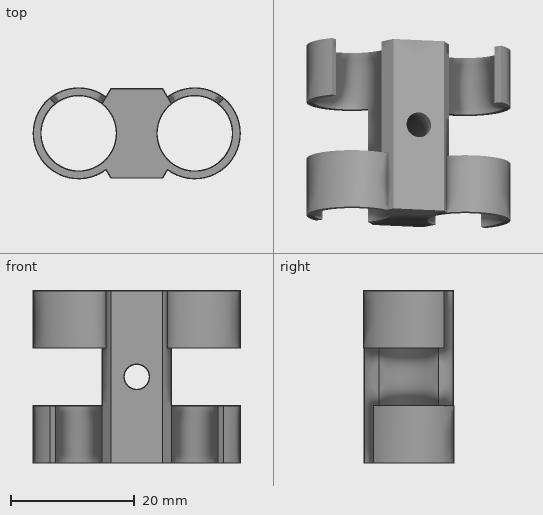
import cadquery as cq
import math

clip_outer_radius = 7.366
clip_wall = 1.27
clip_offset = 9.398
height = 27.94
block_depth = 14.478
block_face_width = 8.382
flank_angle = 60.0
clip_end_angle = 45.0
clip_end_offset = 1.016
screw_hole_diameter = 4.064

bore_radius = clip_outer_radius - clip_wall
clip_height = height / 3


def flank_bore_point():
    """Point where the flank on the +X, +Y side meets the bore."""
    slope = math.radians(flank_angle)
    run_x = math.cos(slope)
    run_y = -math.sin(slope)
    start_x = block_face_width / 2 - clip_offset
    start_y = block_depth / 2
    along = start_x * run_x + start_y * run_y
    excess = start_x**2 + start_y**2 - bore_radius**2
    travel = -along - math.sqrt(along**2 - excess)
    return clip_offset + start_x + travel * run_x, start_y + travel * run_y


edge_x, edge_y = flank_bore_point()


def make_block():
    """Central block, hollowed on both sides by the clip bores."""
    half_face = block_face_width / 2
    half_depth = block_depth / 2
    return (
        cq.Workplane("XY")
        .moveTo(half_face, half_depth)
        .lineTo(edge_x, edge_y)
        .threePointArc((clip_offset - bore_radius, 0), (edge_x, -edge_y))
        .lineTo(half_face, -half_depth)
        .lineTo(-half_face, -half_depth)
        .lineTo(-edge_x, -edge_y)
        .threePointArc((bore_radius - clip_offset, 0), (-edge_x, edge_y))
        .lineTo(-half_face, half_depth)
        .close()
        .extrude(height)
    )


def make_clip(side, base_z, mouth_side):
    """Clip on the +X (side 1) or -X (-1) flank, its mouth facing +Y (mouth_side 1) or -Y (-1).

    The mouth runs from the sloped free end to the block, which closes the bore on that side.
    """
    clip_plane = cq.Workplane("XY", origin=(side * clip_offset, 0, base_z))
    ring = clip_plane.circle(clip_outer_radius).circle(bore_radius).extrude(clip_height)
    reach_x = 2 * clip_outer_radius
    rise_y = reach_x * math.tan(math.radians(clip_end_angle))
    near_y = mouth_side * clip_end_offset
    far_y = mouth_side * (clip_end_offset + rise_y)
    mouth = (
        clip_plane
        .moveTo(0, near_y)
        .lineTo(side * reach_x, far_y)
        .lineTo(-side * reach_x, far_y)
        .lineTo(-side * reach_x, near_y)
        .close()
        .extrude(clip_height)
    )
    return ring.cut(mouth)


def make_screw_hole():
    """Cylinder along Y through the middle of the block."""
    return (
        cq.Workplane("XZ", origin=(0, 0, height / 2))
        .circle(screw_hole_diameter / 2)
        .extrude(block_depth, both=True)
    )


body = make_block()
for side in (-1, 1):
    lower_clip = make_clip(side, 0, -1)
    upper_clip = make_clip(side, height - clip_height, 1)
    body = body.union(lower_clip).union(upper_clip)

result = body.cut(make_screw_hole())